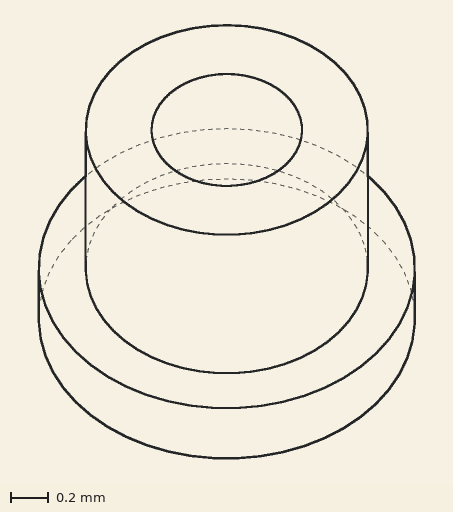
import cadquery as cq

flange_diameter = 2
flange_height = 0.4
body_diameter = 1.5
body_height = 1.1
dome_base_diameter = 0.8
dome_height = 0.2

body_top = flange_height + body_height
total_height = body_top + dome_height

dome_base_radius = dome_base_diameter / 2
dome_radius = (dome_base_radius**2 + dome_height**2) / (2 * dome_height)

flange = cq.Workplane("XY").circle(flange_diameter / 2).extrude(flange_height)
body = cq.Workplane("XY").circle(body_diameter / 2).extrude(body_top)

ball = cq.Workplane("XY").sphere(dome_radius).translate((0, 0, total_height - dome_radius))

result = flange.union(body).union(ball).translate((0, 0, -total_height / 2))